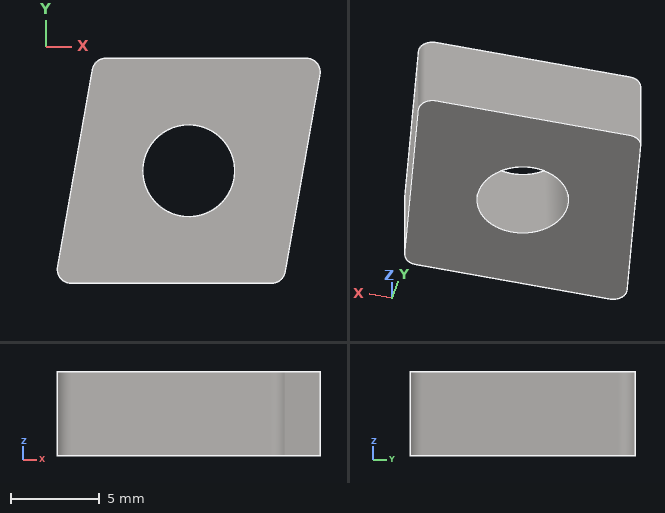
import cadquery as cq
import math

inscribed_circle_diameter = 12.7
acute_corner_angle = 80.0
corner_radius = 0.8
thickness = 4.76
hole_diameter = 5.16

side_length = inscribed_circle_diameter / math.sin(math.radians(acute_corner_angle))
half_side = side_length / 2
half_height = inscribed_circle_diameter / 2
half_lean = side_length * math.cos(math.radians(acute_corner_angle)) / 2


def make_body():
    """Rhombic prism, centred on the Z axis, with all four upright edges rounded."""
    corners = [
        (-half_side - half_lean, -half_height),
        (half_side - half_lean, -half_height),
        (half_side + half_lean, half_height),
        (-half_side + half_lean, half_height),
    ]
    prism = cq.Workplane("XY").polyline(corners).close().extrude(thickness)
    return prism.edges("|Z").fillet(corner_radius)


def cut_clamping_hole(body):
    """Plain round through hole at the centre of the rhombus."""
    return body.faces(">Z").workplane(origin=(0, 0, thickness)).hole(hole_diameter)


result = cut_clamping_hole(make_body())